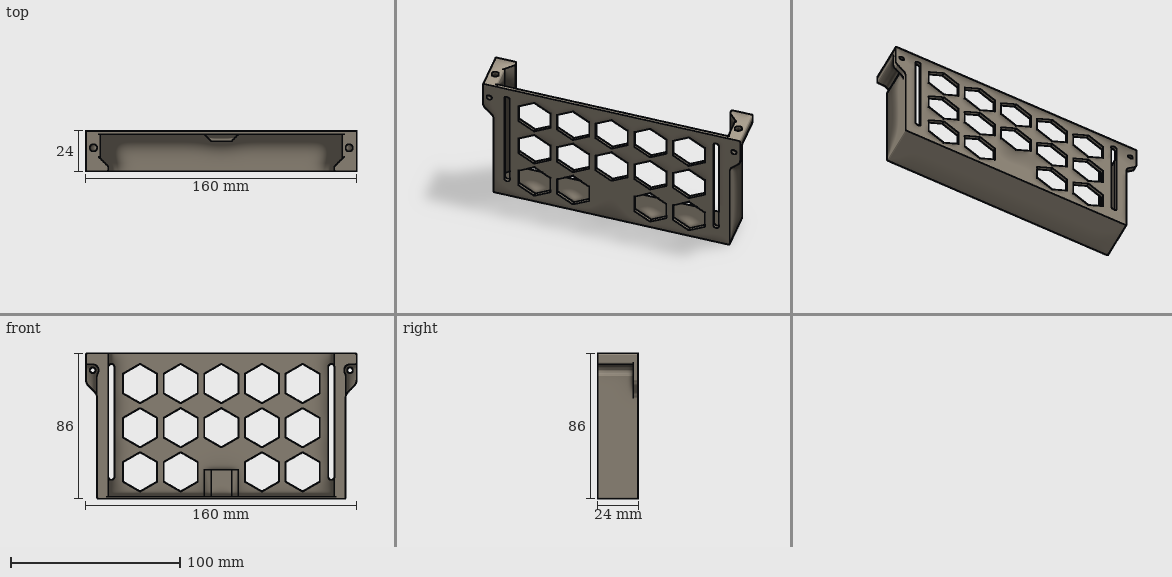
import cadquery as cq
import math

WIDTH = 160.0
DEPTH = 24.0
HEIGHT = 86.0
HALF_WIDTH = WIDTH / 2

BODY_HALF_WIDTH = 73.5
SIDE_WALL = 2.0
FLOOR = 1.5
BACK_PANEL = 2.0
PANEL_FRONT = DEPTH - BACK_PANEL
CAVITY_HALF_WIDTH = BODY_HALF_WIDTH - SIDE_WALL
EDGE_RADIUS = 1.0

MARGIN = 0.2

LIP_REACH = 4.8
LIP_TIP_DEPTH = 2.9
LIP_TIP = CAVITY_HALF_WIDTH - LIP_REACH
LIP_ROOT_DEPTH = LIP_TIP_DEPTH + LIP_REACH

FLANGE_THICKNESS = 6.5
TAB_THICKNESS = 3.0
TAB_CORNER_DROP = 17.8
TAB_RADIUS = 5.0
EAR_OVERHANG = HALF_WIDTH - BODY_HALF_WIDTH

SCREW_X = 76.0
SCREW_RELIEF_RADIUS = 3.5
RELIEF_BLEND_RADIUS = 3.0
SCREW_DROP = FLANGE_THICKNESS + SCREW_RELIEF_RADIUS
SCREW_Z = HEIGHT - SCREW_DROP
SCREW_HOLE = 3.2
FLANGE_HOLE = 4.3
FLANGE_HOLE_X = 75.5
FLANGE_HOLE_SETBACK = 10.0
FLANGE_HOLE_DEPTH = 5.0

HEX_ACROSS_FLATS = 20.0
HEX_DIAMETER = HEX_ACROSS_FLATS / math.cos(math.pi / 6)
HEX_COLUMNS = 5
HEX_ROWS = 3
HEX_PITCH_X = 24.0
HEX_PITCH_Z = 26.0
HEX_MIDDLE_Z = 42.0

SLOT_X = 65.0
SLOT_WIDTH = 3.5
SLOT_BOTTOM = 11.4
SLOT_TOP = 79.7

BLOCK_DEPTH = 4.0
BLOCK_FRONT_HALF = 6.0
BLOCK_TOP = 17.3


def make_outer_shape():
    """Front profile of the body with its ears, extruded over the full depth."""
    tab_corner_z = HEIGHT - TAB_CORNER_DROP
    tab_root_z = tab_corner_z - EAR_OVERHANG
    half_outline = [
        (BODY_HALF_WIDTH, 0),
        (BODY_HALF_WIDTH, tab_root_z),
        (HALF_WIDTH, tab_corner_z),
        (HALF_WIDTH, HEIGHT),
    ]
    mirrored = [(-x, z) for x, z in reversed(half_outline)]
    block = cq.Workplane("XZ").polyline(half_outline + mirrored).close().extrude(-DEPTH)
    tab_corners = cq.selectors.BoxSelector(
        (-HALF_WIDTH - MARGIN, 0, tab_root_z - MARGIN),
        (HALF_WIDTH + MARGIN, DEPTH, tab_corner_z + MARGIN),
    )
    block = block.edges("|Y").edges(tab_corners).fillet(TAB_RADIUS)
    block = block.faces(">Z").edges("|Y").fillet(EDGE_RADIUS)
    return block.faces("<Z").edges("|Y").fillet(EDGE_RADIUS)


def make_cavity():
    """Space between the side walls, narrowed at the front by the two lips."""
    half_outline = [
        (LIP_TIP, 0),
        (LIP_TIP, LIP_TIP_DEPTH),
        (CAVITY_HALF_WIDTH, LIP_ROOT_DEPTH),
        (CAVITY_HALF_WIDTH, PANEL_FRONT),
    ]
    mirrored = [(-x, y) for x, y in reversed(half_outline)]
    return (
        cq.Workplane("XY", origin=(0, 0, FLOOR))
        .polyline(half_outline + mirrored)
        .close()
        .extrude(HEIGHT - FLOOR)
    )


def round_cavity_mouth(tray):
    """Round the upright front edge of each lip and the top inner edge of each side wall."""
    lip_edges = cq.selectors.BoxSelector(
        (-LIP_TIP - MARGIN, -MARGIN, 0),
        (LIP_TIP + MARGIN, MARGIN, HEIGHT),
    )
    wall_edges = cq.selectors.BoxSelector(
        (-CAVITY_HALF_WIDTH - MARGIN, LIP_ROOT_DEPTH, HEIGHT - MARGIN),
        (CAVITY_HALF_WIDTH + MARGIN, PANEL_FRONT, HEIGHT + MARGIN),
    )
    tray = tray.edges("|Z").edges(lip_edges).fillet(EDGE_RADIUS)
    return tray.faces(">Z").edges("|Y").edges(wall_edges).fillet(EDGE_RADIUS)


def make_ear_relief(side):
    """Clearance in front of one tab: below the flange and around the screw head."""
    relief_depth = DEPTH - TAB_THICKNESS
    flange_bottom = HEIGHT - FLANGE_THICKNESS
    relief_side = HALF_WIDTH + EAR_OVERHANG
    relief = (
        cq.Workplane("XZ")
        .moveTo(BODY_HALF_WIDTH, 0)
        .lineTo(relief_side, 0)
        .lineTo(relief_side, flange_bottom + EDGE_RADIUS)
        .lineTo(HALF_WIDTH, flange_bottom + EDGE_RADIUS)
        .radiusArc((HALF_WIDTH - EDGE_RADIUS, flange_bottom), EDGE_RADIUS)
        .lineTo(SCREW_X, flange_bottom)
        .lineTo(SCREW_X, SCREW_Z)
        .lineTo(BODY_HALF_WIDTH, SCREW_Z)
        .close()
        .extrude(-relief_depth)
    )
    head = cq.Workplane("XZ").center(SCREW_X, SCREW_Z).circle(SCREW_RELIEF_RADIUS).extrude(-relief_depth)
    blend_edge = cq.selectors.NearestToPointSelector(
        (BODY_HALF_WIDTH, relief_depth / 2, SCREW_Z - SCREW_RELIEF_RADIUS)
    )
    relief = relief.union(head).edges("|Y").edges(blend_edge).fillet(RELIEF_BLEND_RADIUS)
    return relief if side > 0 else relief.mirror("YZ")


def make_ear_holes(side):
    """Screw hole through the tab and upright hole through the flange."""
    screw = (
        cq.Workplane("XZ")
        .center(side * SCREW_X, SCREW_Z)
        .circle(SCREW_HOLE / 2)
        .extrude(-DEPTH)
    )
    upright = (
        cq.Workplane("XY", origin=(side * FLANGE_HOLE_X, DEPTH - FLANGE_HOLE_SETBACK, HEIGHT))
        .circle(FLANGE_HOLE / 2)
        .extrude(-FLANGE_HOLE_DEPTH)
    )
    return screw.union(upright)


def make_slot(side):
    """Long upright slot through the back panel."""
    return (
        cq.Workplane("XZ", origin=(0, PANEL_FRONT, 0))
        .center(side * SLOT_X, (SLOT_BOTTOM + SLOT_TOP) / 2)
        .slot2D(SLOT_TOP - SLOT_BOTTOM, SLOT_WIDTH, 90)
        .extrude(-BACK_PANEL)
    )


def make_hexagons():
    """Grid of hexagons with a point upward; the middle of the bottom row stays solid."""
    hexagon = (
        cq.Workplane("XZ")
        .polygon(6, HEX_DIAMETER)
        .extrude(-BACK_PANEL)
        .rotate((0, 0, 0), (0, 1, 0), 90)
    )
    middle_column = HEX_COLUMNS // 2
    middle_row = HEX_ROWS // 2
    hexagons = cq.Workplane("XY")
    for row in range(HEX_ROWS):
        for column in range(HEX_COLUMNS):
            if row == 0 and column == middle_column:
                continue
            x = (column - middle_column) * HEX_PITCH_X
            z = HEX_MIDDLE_Z + (row - middle_row) * HEX_PITCH_Z
            hexagons = hexagons.add(hexagon.translate((x, PANEL_FRONT, z)))
    return hexagons.combine()


def make_block():
    """Stop block with 45 degree flanks."""
    base_half = BLOCK_FRONT_HALF + BLOCK_DEPTH
    block_front = PANEL_FRONT - BLOCK_DEPTH
    return (
        cq.Workplane("XY")
        .moveTo(-base_half, PANEL_FRONT)
        .lineTo(-BLOCK_FRONT_HALF, block_front)
        .lineTo(BLOCK_FRONT_HALF, block_front)
        .lineTo(base_half, PANEL_FRONT)
        .close()
        .extrude(BLOCK_TOP)
    )


result = round_cavity_mouth(make_outer_shape().cut(make_cavity())).cut(make_hexagons())
for side in (-1, 1):
    result = result.cut(make_ear_relief(side))
    result = result.cut(make_ear_holes(side))
    result = result.cut(make_slot(side))
result = result.union(make_block())